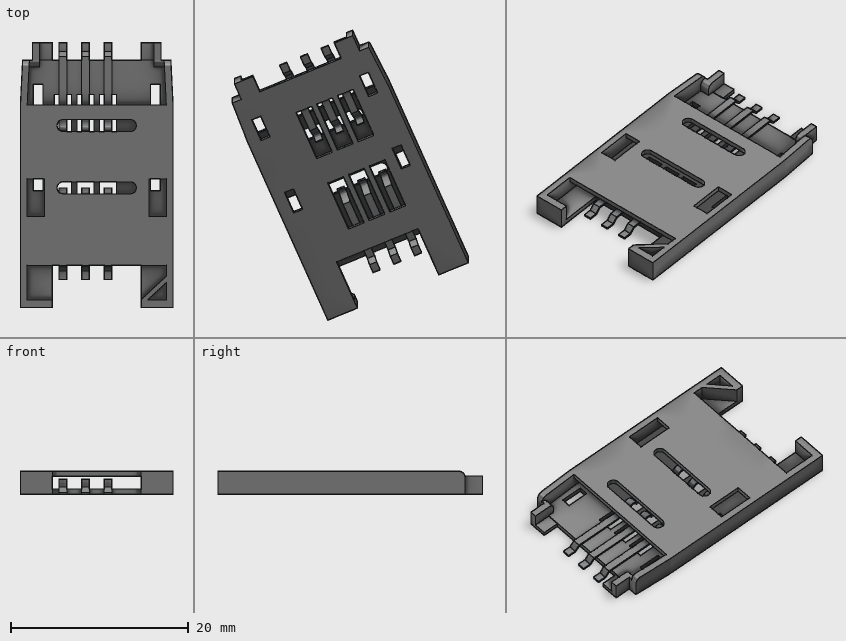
import cadquery as cq
import math


WIDTH = 17.2
LENGTH = 29.8
HEIGHT = 2.61
REAR_Y = LENGTH / 2
FRONT_Y = -LENGTH / 2
HALF_WIDTH = WIDTH / 2

FLOOR = 0.6
COVER = 0.6
SIDE_WALL = 0.77
FRONT_WALL = 0.88
INNER_X = HALF_WIDTH - SIDE_WALL
LEG_INNER_X = 4.98
WALL_REAR_Y = REAR_Y - 1.97
FLOOR_FRONT_Y = FRONT_Y + 5.95
COVER_REAR_Y = REAR_Y - 7.0
COVER_FRONT_Y = FRONT_Y + 4.76
POCKET_FRONT_Y = FRONT_Y + FRONT_WALL
REAR_TAPER = 0.25
REAR_ROUND = 0.75

SLOT_LENGTH = 8.9
SLOT_WIDTH = 1.36
SLOT_CENTERS_Y = (5.58, -1.42)
WINDOW_WIDTH = 1.97
WINDOW_LENGTH = 4.22
WINDOW_REAR_Y = -0.42

DIAGONAL_RISE = 2.67
DIAGONAL_FOOT = 0.76
DIAGONAL_HEAD = 0.73

POST_OUTER_X = 7.24
POST_THICKNESS = 0.78
POST_HEIGHT = 2.07
TAB_HEIGHT = 0.5
WEB_OVERLAP = 0.05

SIDE_SLOT_INNER_X = 6.05
SIDE_SLOT_WIDTH = 1.08
SIDE_SLOT_LENGTH = 2.64
SIDE_SLOT_REAR_YS = (10.22, 0.9)

PITCH = 2.54
CONTACT_XS = (-1.5 * PITCH, -0.5 * PITCH, 0.5 * PITCH)
CONTACT_WIDTH = 0.88
STRIP = 0.2
REAR_CONTACT_Y = REAR_Y
FRONT_CONTACT_Y = -11.76
LEAD_LENGTH = 0.96
CREST_DISTANCE = 9.65
CREST_HEIGHT = 1.71
CREST_RADIUS = 0.56
TIP_DROP = 0.3

OPENING_WIDTH = 1.9
OPENING_START = 5.85
OPENING_END = 11.76


def block(x0, x1, y0, y1, z0, z1):
    """Box between two opposite corners."""
    return cq.Workplane("XY").box(x1 - x0, y1 - y0, z1 - z0, centered=False).translate((x0, y0, z0))


def mirrored(shape):
    """The shape together with its mirror image across X = 0."""
    return shape.union(shape.mirror("YZ"))


def make_side():
    """The -X side wall with its tapered, rounded rear end, and the front leg wall."""
    rear_x = -HALF_WIDTH + REAR_TAPER
    wall = (
        cq.Workplane("XY")
        .moveTo(-HALF_WIDTH, FRONT_Y)
        .lineTo(-LEG_INNER_X, FRONT_Y)
        .lineTo(-LEG_INNER_X, POCKET_FRONT_Y)
        .lineTo(-INNER_X, POCKET_FRONT_Y)
        .lineTo(-INNER_X, COVER_REAR_Y)
        .lineTo(rear_x + SIDE_WALL, WALL_REAR_Y)
        .lineTo(rear_x, WALL_REAR_Y)
        .lineTo(-HALF_WIDTH, COVER_REAR_Y)
        .close()
        .extrude(HEIGHT)
    )
    return wall.faces(">Y").edges(">Z").fillet(REAR_ROUND)


def make_post():
    """The -X rear post on its tab, joined to the side wall by a web."""
    inner_x = -POST_OUTER_X + POST_THICKNESS
    post_front_y = WALL_REAR_Y - REAR_ROUND
    wall_inner_x = -HALF_WIDTH + REAR_TAPER + SIDE_WALL
    tab = block(-POST_OUTER_X, -LEG_INNER_X, WALL_REAR_Y, REAR_Y, 0, TAB_HEIGHT)
    post = block(-POST_OUTER_X, inner_x, post_front_y, REAR_Y, 0, POST_HEIGHT)
    web = block(wall_inner_x - WEB_OVERLAP, inner_x, post_front_y, WALL_REAR_Y, 0, POST_HEIGHT)
    raised = post.union(web).faces("<Y").edges(">Z").fillet(REAR_ROUND)
    return tab.union(raised)


def make_floor():
    """Floor plate and the two leg floors, with the contact openings and side slots."""
    rear_x = INNER_X - REAR_TAPER
    plate = (
        cq.Workplane("XY")
        .moveTo(-INNER_X, FRONT_Y)
        .lineTo(-LEG_INNER_X, FRONT_Y)
        .lineTo(-LEG_INNER_X, FLOOR_FRONT_Y)
        .lineTo(LEG_INNER_X, FLOOR_FRONT_Y)
        .lineTo(LEG_INNER_X, FRONT_Y)
        .lineTo(INNER_X, FRONT_Y)
        .lineTo(INNER_X, COVER_REAR_Y)
        .lineTo(rear_x, WALL_REAR_Y)
        .lineTo(-rear_x, WALL_REAR_Y)
        .lineTo(-INNER_X, COVER_REAR_Y)
        .close()
        .extrude(FLOOR)
    )
    half = OPENING_WIDTH / 2
    for x in CONTACT_XS:
        plate = plate.cut(block(
            x - half, x + half,
            REAR_CONTACT_Y - OPENING_END, REAR_CONTACT_Y - OPENING_START, 0, FLOOR,
        ))
        plate = plate.cut(block(
            x - half, x + half,
            FRONT_CONTACT_Y + OPENING_START, FRONT_CONTACT_Y + OPENING_END, 0, FLOOR,
        ))
    for rear_y in SIDE_SLOT_REAR_YS:
        side_slot = block(
            SIDE_SLOT_INNER_X, SIDE_SLOT_INNER_X + SIDE_SLOT_WIDTH,
            rear_y - SIDE_SLOT_LENGTH, rear_y, 0, FLOOR,
        )
        plate = plate.cut(mirrored(side_slot))
    return plate


def make_cover():
    """Cover sheet with two round-ended slots and two windows."""
    bottom_z = HEIGHT - COVER
    sheet = block(-INNER_X, INNER_X, COVER_FRONT_Y, COVER_REAR_Y, bottom_z, HEIGHT)
    slots = (
        cq.Workplane("XY", origin=(0, 0, bottom_z))
        .pushPoints([(0, y) for y in SLOT_CENTERS_Y])
        .slot2D(SLOT_LENGTH, SLOT_WIDTH)
        .extrude(COVER)
    )
    window = block(
        INNER_X - WINDOW_WIDTH, INNER_X,
        WINDOW_REAR_Y - WINDOW_LENGTH, WINDOW_REAR_Y, bottom_z, HEIGHT,
    )
    return sheet.cut(slots).cut(mirrored(window))


def make_diagonal():
    """Full-height diagonal wall in the +X leg."""
    head_y = POCKET_FRONT_Y + DIAGONAL_RISE
    return (
        cq.Workplane("XY")
        .moveTo(LEG_INNER_X, POCKET_FRONT_Y)
        .lineTo(LEG_INNER_X + DIAGONAL_FOOT, POCKET_FRONT_Y)
        .lineTo(INNER_X, head_y - DIAGONAL_HEAD)
        .lineTo(INNER_X, head_y)
        .close()
        .extrude(HEIGHT)
    )


def make_housing():
    """Floor, cover, walls and posts as one solid."""
    sides = mirrored(make_side().union(make_post()))
    return make_floor().union(sides).union(make_cover()).union(make_diagonal())


def make_contact(x, end_y, direction):
    """Strip contact at x; it starts at end_y and runs along Y in the given direction.

    The lead lies on Z = 0, steps up at 45 degrees onto the floor, and later rises
    at 45 degrees into a round crest with a short straight tip.
    """
    flat_top = FLOOR + STRIP
    bend_shift = STRIP * math.tan(math.radians(22.5))
    diagonal = math.sqrt(0.5)
    step_end = LEAD_LENGTH + FLOOR

    center_z = CREST_HEIGHT - CREST_RADIUS
    outer = CREST_RADIUS * diagonal
    inner_radius = CREST_RADIUS - STRIP
    inner = inner_radius * diagonal
    rise_start = CREST_DISTANCE - outer - (center_z + outer - flat_top)

    def place(distance, z):
        return (end_y + direction * distance, z)

    profile = (
        cq.Workplane("YZ", origin=(x - CONTACT_WIDTH / 2, 0, 0))
        .moveTo(*place(0, 0))
        .lineTo(*place(0, STRIP))
        .lineTo(*place(LEAD_LENGTH, STRIP))
        .lineTo(*place(step_end, flat_top))
        .lineTo(*place(rise_start, flat_top))
        .lineTo(*place(CREST_DISTANCE - outer, center_z + outer))
        .threePointArc(
            place(CREST_DISTANCE, CREST_HEIGHT),
            place(CREST_DISTANCE + outer, center_z + outer),
        )
        .lineTo(*place(CREST_DISTANCE + outer + TIP_DROP, center_z + outer - TIP_DROP))
        .lineTo(*place(CREST_DISTANCE + inner + TIP_DROP, center_z + inner - TIP_DROP))
        .lineTo(*place(CREST_DISTANCE + inner, center_z + inner))
        .threePointArc(
            place(CREST_DISTANCE, center_z + inner_radius),
            place(CREST_DISTANCE - inner, center_z + inner),
        )
        .lineTo(*place(rise_start + bend_shift, FLOOR))
        .lineTo(*place(step_end + bend_shift, FLOOR))
        .lineTo(*place(LEAD_LENGTH + bend_shift, 0))
        .close()
    )
    return profile.extrude(CONTACT_WIDTH)


housing = make_housing()

contacts = []
for contact_x in CONTACT_XS:
    contacts.append(make_contact(contact_x, REAR_CONTACT_Y, -1).val())
    contacts.append(make_contact(contact_x, FRONT_CONTACT_Y, 1).val())

result = cq.Compound.makeCompound([housing.solids().val(), *contacts])